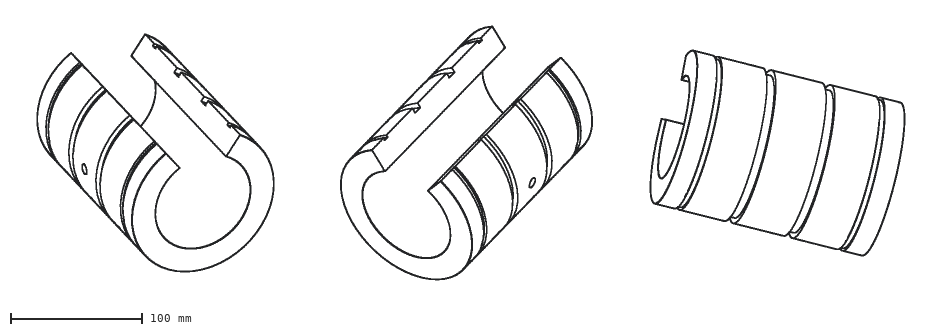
import cadquery as cq
import math

length = 165.0
outer_radius = 60.0
bore_radius = 40.0
edge_chamfer = 0.3

ring_groove_span = 133.5
ring_groove_width = 4.15
ring_groove_radius = 58.0

band_groove_spacing = 47.0
band_groove_width = 7.0
band_groove_radius = 55.8

opening_height = 51.18
opening_wall_angle = 36.0

hole_diameter = 8.0

cutter_overshoot = 1.0


def tube(outer, inner, width, center_x=0.0):
    """Ring around the X axis."""
    return (
        cq.Workplane("YZ")
        .workplane(offset=center_x - width / 2)
        .circle(outer)
        .circle(inner)
        .extrude(width)
    )


def cut_groove_pair(body, center_x, width, floor_radius):
    """Cut one groove at each side of the middle plane."""
    for side in (-1, 1):
        body = body.cut(tube(outer_radius + cutter_overshoot, floor_radius, width, side * center_x))
    return body


def opening_wedge():
    """Prism whose two flat walls pass through the outer lips of the opening."""
    slope = math.tan(math.radians(opening_wall_angle))
    lip_half_width = math.sqrt(outer_radius**2 - opening_height**2)
    apex_height = opening_height - lip_half_width / slope
    top_height = 2 * outer_radius
    top_half_width = (top_height - apex_height) * slope
    return (
        cq.Workplane("YZ")
        .moveTo(0, apex_height)
        .lineTo(top_half_width, top_height)
        .lineTo(-top_half_width, top_height)
        .close()
        .extrude(length / 2, both=True)
    )


def radial_hole():
    """Cylinder from the axis out through the -Y wall."""
    return cq.Workplane("XZ").circle(hole_diameter / 2).extrude(outer_radius)


sleeve = tube(outer_radius, bore_radius, length)
sleeve = sleeve.faces("<X or >X").edges().chamfer(edge_chamfer)

ring_groove_center = (ring_groove_span - ring_groove_width) / 2
sleeve = cut_groove_pair(sleeve, ring_groove_center, ring_groove_width, ring_groove_radius)
sleeve = cut_groove_pair(sleeve, band_groove_spacing / 2, band_groove_width, band_groove_radius)

result = sleeve.cut(opening_wedge()).cut(radial_hole())